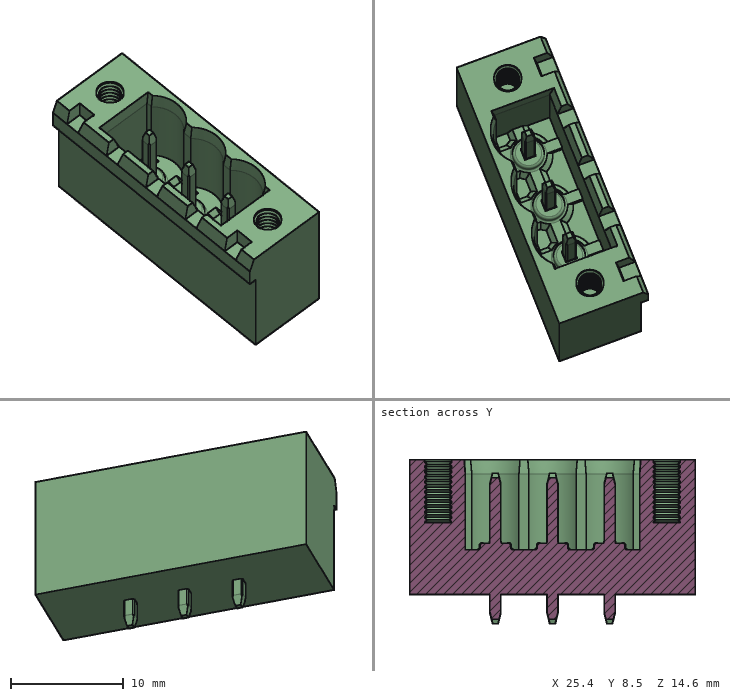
import cadquery as cq
import math


PITCH = 5.08
PIN_COUNT = 3
PIN_XS = [PITCH * (i - (PIN_COUNT - 1) / 2) for i in range(PIN_COUNT)]
FLANGE_X = PITCH * (PIN_COUNT + 1) / 2
FLANGE_XS = (-FLANGE_X, FLANGE_X)

LENGTH = PITCH * (PIN_COUNT + 2)
DEPTH = 7.8
HEIGHT = 12.0
BACK_Y = DEPTH / 2
FRONT_Y = -DEPTH / 2
LIP_REACH = 0.7
LIP_Y = FRONT_Y - LIP_REACH
LIP_HEIGHT = 3.0
LIP_CHAMFER = 0.5
RIM_DEPTH = 1.25
RIM_Z = HEIGHT - RIM_DEPTH

CAVITY_HALF_LENGTH = 7.74
CAVITY_BACK_Y = 2.23
CAVITY_FRONT_Y = -3.05
FLOOR_Z = 3.5
LEAD_IN_SIDE = 0.09
LEAD_IN_BACK = 0.23
LEAD_IN_FRONT = 0.46

BAY_Y = 0.3
BAY_RADIUS = 2.85

RIB_HEIGHT = 0.5
RIB_TOP_Z = FLOOR_Z + RIB_HEIGHT
LONG_RIB_HALF_WIDTH = 0.48
BAY_RIB_HALF_WIDTH = 1.14
FRONT_RIB_HALF_WIDTH = 0.5
CONE_TOP_RADIUS = 1.67

COLLAR_RADIUS = 1.42
COLLAR_HEIGHT = 0.6
COLLAR_TOP_Z = RIB_TOP_Z + COLLAR_HEIGHT
COLLAR_TOP_FILLET = 0.25
COLLAR_BASE_FILLET = 0.2

NOTCH_FLOOR_WIDTH = 1.4
NOTCH_SLOPE = 0.22
FLANGE_NOTCH_DEPTH = 1.55

PIN_WIDTH = 1.0
PIN_EDGE_CHAMFER = 0.13
PIN_FOOT_WIDTH = 1.06
PIN_FOOT_HEIGHT = 0.1
PIN_TIP_WIDTH = 0.5
PIN_TAPER = 1.0
PIN_TOP_Z = 10.8
PIN_BOTTOM_Z = -2.6

THREAD_ROOT_RADIUS = 1.23
THREAD_CREST_RADIUS = 1.025
THREAD_PITCH = 0.45
THREAD_LEAD = 0.19
THREAD_TURNS = 12


def tapered_block(bottom, top, z_bottom, z_top):
    """Block between two rectangles, each given as (x_min, x_max, y_min, y_max)."""
    def outline(rectangle, z):
        x_min, x_max, y_min, y_max = rectangle
        corners = [(x_min, y_min), (x_max, y_min), (x_max, y_max), (x_min, y_max)]
        return cq.Wire.makePolygon([cq.Vector(x, y, z) for x, y in corners], close=True)

    wires = [outline(bottom, z_bottom), outline(top, z_top)]
    return cq.Workplane(obj=cq.Solid.makeLoft(wires, True))


def block(x_min, x_max, y_min, y_max, z_min, z_max):
    """Plain block between the given limits."""
    size = (x_max - x_min, y_max - y_min, z_max - z_min)
    return cq.Workplane().box(*size, centered=False).translate((x_min, y_min, z_min))


def housing():
    """Solid body with a chamfered lip along the front rim."""
    profile = [
        (BACK_Y, 0),
        (BACK_Y, HEIGHT),
        (LIP_Y + LIP_CHAMFER, HEIGHT),
        (LIP_Y, RIM_Z),
        (LIP_Y, HEIGHT - LIP_HEIGHT),
        (FRONT_Y, HEIGHT - LIP_HEIGHT),
        (FRONT_Y, 0),
    ]
    return cq.Workplane("YZ").polyline(profile).close().extrude(LENGTH / 2, both=True)


def bay(x):
    """Round recess behind a pin, widening towards the rim."""
    top_radius = BAY_RADIUS + LEAD_IN_BACK
    wall = cq.Workplane().circle(BAY_RADIUS).extrude(RIM_Z - RIB_TOP_Z)
    wall = wall.translate((x, BAY_Y, RIB_TOP_Z))
    flare = cq.Solid.makeCone(BAY_RADIUS, top_radius, RIM_DEPTH, cq.Vector(x, BAY_Y, RIM_Z))
    behind_pin = block(x - PITCH, x + PITCH, CAVITY_BACK_Y, BACK_Y, RIB_TOP_Z, HEIGHT)
    return wall.union(cq.Workplane(obj=flare)).intersect(behind_pin)


def cavity():
    """Plug cavity with a flared lead-in and one bay per pin."""
    half = CAVITY_HALF_LENGTH
    rim_half = half + LEAD_IN_SIDE
    straight = (-half, half, CAVITY_FRONT_Y, CAVITY_BACK_Y)
    rim = (-rim_half, rim_half, CAVITY_FRONT_Y - LEAD_IN_FRONT, CAVITY_BACK_Y + LEAD_IN_BACK)
    space = block(*straight, FLOOR_Z, RIM_Z).union(tapered_block(straight, rim, RIM_Z, HEIGHT))
    for x in PIN_XS:
        space = space.union(bay(x))
    return space


def notch(x, back_y, back_slope):
    """Notch in the front rim, open at the lip face, with sloping sides and back."""
    half = NOTCH_FLOOR_WIDTH / 2
    rim_half = half + NOTCH_SLOPE
    floor = (x - half, x + half, LIP_Y, back_y)
    rim = (x - rim_half, x + rim_half, LIP_Y, back_y + back_slope)
    return tapered_block(floor, rim, RIM_Z, HEIGHT)


def long_rib():
    """Rib joining all pins, with 45 degree flanks."""
    half = CAVITY_HALF_LENGTH
    base_half_width = LONG_RIB_HALF_WIDTH + RIB_HEIGHT
    base = (-half, half, -base_half_width, base_half_width)
    top = (-half, half, -LONG_RIB_HALF_WIDTH, LONG_RIB_HALF_WIDTH)
    return tapered_block(base, top, FLOOR_Z, RIB_TOP_Z)


def pin_ribs(x):
    """Cone around a pin, with a wide rib to the bay and a narrow rib to the front wall."""
    base_radius = CONE_TOP_RADIUS + RIB_HEIGHT
    cone = cq.Solid.makeCone(base_radius, CONE_TOP_RADIUS, RIB_HEIGHT, cq.Vector(x, 0, FLOOR_Z))
    base_half_width = BAY_RIB_HALF_WIDTH + RIB_HEIGHT
    base = (x - base_half_width, x + base_half_width, 0, CAVITY_BACK_Y)
    top = (x - BAY_RIB_HALF_WIDTH, x + BAY_RIB_HALF_WIDTH, 0, CAVITY_BACK_Y)
    bay_rib = tapered_block(base, top, FLOOR_Z, RIB_TOP_Z)
    left = x - FRONT_RIB_HALF_WIDTH
    right = x + FRONT_RIB_HALF_WIDTH
    front_rib = block(left, right, CAVITY_FRONT_Y, 0, FLOOR_Z, RIB_TOP_Z)
    return cq.Workplane(obj=cone).union(bay_rib).union(front_rib)


def collar(x):
    """Round collar with a rounded top edge and a filleted foot."""
    diagonal = math.sqrt(0.5)
    foot_radius = COLLAR_RADIUS + COLLAR_BASE_FILLET
    foot_z = RIB_TOP_Z + COLLAR_BASE_FILLET
    shoulder_radius = COLLAR_RADIUS - COLLAR_TOP_FILLET
    shoulder_z = COLLAR_TOP_Z - COLLAR_TOP_FILLET
    foot_middle = (
        foot_radius - COLLAR_BASE_FILLET * diagonal,
        foot_z - COLLAR_BASE_FILLET * diagonal,
    )
    shoulder_middle = (
        shoulder_radius + COLLAR_TOP_FILLET * diagonal,
        shoulder_z + COLLAR_TOP_FILLET * diagonal,
    )
    profile = (
        cq.Workplane("XZ")
        .moveTo(0, FLOOR_Z)
        .lineTo(foot_radius, FLOOR_Z)
        .lineTo(foot_radius, RIB_TOP_Z)
        .threePointArc(foot_middle, (COLLAR_RADIUS, foot_z))
        .lineTo(COLLAR_RADIUS, shoulder_z)
        .threePointArc(shoulder_middle, (shoulder_radius, COLLAR_TOP_Z))
        .lineTo(0, COLLAR_TOP_Z)
        .close()
    )
    return profile.revolve(360, (0, 0), (0, 1)).translate((x, 0, 0))


def centred_square(x, width):
    """Limits of a square centred on the pin at x."""
    half = width / 2
    return (x - half, x + half, -half, half)


def pin(x):
    """Square pin with chamfered long edges, a tapered tip at both ends and a square foot."""
    shaft_square = centred_square(x, PIN_WIDTH)
    tip_square = centred_square(x, PIN_TIP_WIDTH)
    upper_z = PIN_TOP_Z - PIN_TAPER
    lower_z = PIN_BOTTOM_Z + PIN_TAPER
    square_pin = (
        block(*shaft_square, lower_z, upper_z)
        .union(tapered_block(shaft_square, tip_square, upper_z, PIN_TOP_Z))
        .union(tapered_block(tip_square, shaft_square, PIN_BOTTOM_Z, lower_z))
    )
    envelope = block(*shaft_square, PIN_BOTTOM_Z, PIN_TOP_Z).edges("|Z").chamfer(PIN_EDGE_CHAMFER)
    foot_top_z = COLLAR_TOP_Z + PIN_FOOT_HEIGHT
    foot = block(*centred_square(x, PIN_FOOT_WIDTH), COLLAR_TOP_Z, foot_top_z)
    return square_pin.intersect(envelope).union(foot)


def screw_hole(x):
    """Blind hole with ring-shaped thread grooves."""
    z = HEIGHT - THREAD_LEAD
    profile = [(0, HEIGHT), (THREAD_ROOT_RADIUS, HEIGHT), (THREAD_ROOT_RADIUS, z)]
    for _ in range(THREAD_TURNS):
        profile.append((THREAD_CREST_RADIUS, z - THREAD_PITCH / 2))
        z -= THREAD_PITCH
        profile.append((THREAD_ROOT_RADIUS, z))
    profile.append((0, z))
    hole = cq.Workplane("XZ").polyline(profile).close().revolve(360, (0, 0), (0, 1))
    return hole.translate((x, 0, 0))


result = housing().cut(cavity())

for pin_x in PIN_XS:
    result = result.cut(notch(pin_x, CAVITY_FRONT_Y, 0))

for flange_x in FLANGE_XS:
    result = result.cut(notch(flange_x, LIP_Y + FLANGE_NOTCH_DEPTH, NOTCH_SLOPE))
    result = result.cut(screw_hole(flange_x))

result = result.union(long_rib())
for pin_x in PIN_XS:
    result = result.union(pin_ribs(pin_x)).union(collar(pin_x)).union(pin(pin_x))